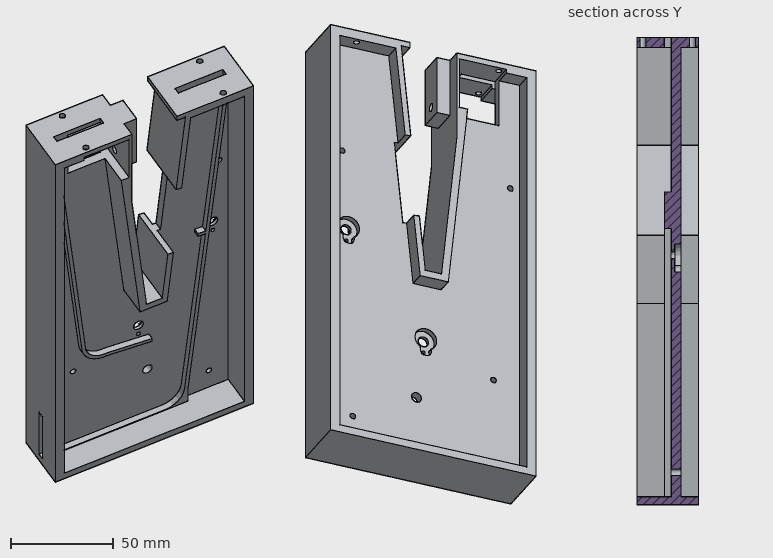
import math

import cadquery as cq

DEPTH = 30.0
WIDTH = 110.0
HEIGHT = 228.0
HALF_WIDTH = WIDTH / 2
SIDE_WALL = 5.0
TOP_WALL = 5.0
BOTTOM_WALL = 4.0
PLATE_FRONT = 8.5
PLATE_BACK = 13.3
SIDE_INNER = HALF_WIDTH - SIDE_WALL
TOP_INNER = HEIGHT - TOP_WALL
FULL_X = (0.0, DEPTH)

V_ANGLE = math.radians(5.95)
V_TAN = math.tan(V_ANGLE)
V_BOTTOM = 101.7
V_BOTTOM_HALF = 4.35
V_LEFT_WALL = 3.1
V_RIGHT_WALL = 4.0
V_BOTTOM_WALL = 3.6
LID_THICKNESS = 3.0
LID_UNDERSIDE = HEIGHT - LID_THICKNESS
LID_EDGE_Y = 12.5
RIGHT_ARM_EDGE_Y = -12.5

GAP_BOTTOM = 131.6
GAP_TOP = 175.6
GAP_DEPTH = 5.0

TONGUE_X = (8.0, 22.0)
TONGUE_END_Y = -5.5
TONGUE_HEIGHT = 31.0
WINDOW_WIDTH = 25.0
WINDOW_WALL = 1.5
WINDOW_BOTTOM = 197.8
TONGUE_HOLE_DIAMETER = 4.0
TONGUE_HOLE_Z = 203.5

SLOT_X = (PLATE_BACK, DEPTH - PLATE_BACK)
LEFT_SLOT_Y = (20.5, 47.0)
RIGHT_SLOT_Y = (-46.8, -21.0)
EXIT_SLOT_Z = (4.5, 34.5)

LEFT_CHUTE_ANGLE = math.radians(6.3)
LEFT_CHUTE_TAN = math.tan(LEFT_CHUTE_ANGLE)
GUIDE_BEND_RADIUS = 10.7
GUIDE_THICKNESS = 2.0
TAB_Z = 121.0
TAB_LENGTH = 4.4
TAB_THICKNESS = 2.0
RIGHT_BEND_Y = -31.0
RAMP_END_Y = 6.0

LID_HOLE_DIAMETER = 3.0
LID_HOLE_X = (3.0, 27.0)
LID_HOLE_Y = (39.8, -36.4)
SCREW_HOLE_DIAMETER = 3.0
SCREW_HOLES = [(45.0, 163.9), (-45.0, 163.9), (-36.0, 54.0), (39.3, 15.9)]
SENSOR_HOLE_DIAMETER = 5.2
SENSOR_HOLE = (5.2, 34.5)

KEYHOLES = [(41.5, 121.8), (0.2, 68.5)]
KEYHOLE_DEPTH = 3.0
KEYHOLE_LARGE_DIAMETER = 11.5
KEYHOLE_LARGE_BORE = 5.4
KEYHOLE_SMALL_DIAMETER = 6.0
KEYHOLE_SMALL_BORE = 2.0
KEYHOLE_SMALL_DROP = 6.2


def block(x_range, y_range, z_range):
    """Box between two limits on each axis."""
    size = [high - low for low, high in (x_range, y_range, z_range)]
    low_corner = (x_range[0], y_range[0], z_range[0])
    return cq.Workplane("XY").box(*size, centered=False).translate(low_corner)


def profile(x_start):
    """Sketch plane at x_start whose local axes are Y and Z."""
    return cq.Workplane("YZ", origin=(x_start, 0, 0))


def prism(points, x_range):
    """Polygon in Y and Z, extruded across an X range."""
    return profile(x_range[0]).polyline(points).close().extrude(x_range[1] - x_range[0])


def round_bar(center, diameter, x_range):
    """Cylinder along X, centred at a (y, z) point."""
    return profile(x_range[0]).center(*center).circle(diameter / 2).extrude(x_range[1] - x_range[0])


def v_half_width(z):
    """Distance from the middle of the V to its sloping inner face at a height."""
    return V_BOTTOM_HALF + (z - V_BOTTOM) * V_TAN


def make_case():
    case = block(FULL_X, (-HALF_WIDTH, HALF_WIDTH), (0, HEIGHT))
    inside_y = (-SIDE_INNER, SIDE_INNER)
    inside_z = (BOTTOM_WALL, TOP_INNER)
    front_tray = block((0, PLATE_FRONT), inside_y, inside_z)
    back_tray = block((PLATE_BACK, DEPTH), inside_y, inside_z)
    return case.cut(front_tray).cut(back_tray)


def v_walls():
    """Solid wedge around the V, from which the opening is cut."""
    bottom = V_BOTTOM - V_BOTTOM_WALL
    points = [
        (-v_half_width(bottom) - V_RIGHT_WALL, bottom),
        (v_half_width(bottom) + V_LEFT_WALL, bottom),
        (v_half_width(HEIGHT) + V_LEFT_WALL, HEIGHT),
        (-v_half_width(HEIGHT) - V_RIGHT_WALL, HEIGHT),
    ]
    return prism(points, FULL_X)


def v_opening():
    """Space between the arms: its -Y side turns upright and the lid overhangs its +Y side."""
    bend_z = V_BOTTOM + (-RIGHT_ARM_EDGE_Y - V_BOTTOM_HALF) / V_TAN
    points = [
        (-V_BOTTOM_HALF, V_BOTTOM),
        (V_BOTTOM_HALF, V_BOTTOM),
        (v_half_width(LID_UNDERSIDE), LID_UNDERSIDE),
        (LID_EDGE_Y, LID_UNDERSIDE),
        (LID_EDGE_Y, HEIGHT),
        (RIGHT_ARM_EDGE_Y, HEIGHT),
        (RIGHT_ARM_EDGE_Y, bend_z),
    ]
    return prism(points, FULL_X)


def arm_gap():
    """Break in the +Y arm, its ends square to the sloping wall."""
    end_rise = -GAP_DEPTH * V_TAN
    points = []
    for z, side in ((GAP_BOTTOM, -1), (GAP_BOTTOM, 1), (GAP_TOP, 1), (GAP_TOP, -1)):
        points.append((v_half_width(z) + side * GAP_DEPTH, z + side * end_rise))
    return prism(points, FULL_X)


def make_tongue():
    y_range = (RIGHT_ARM_EDGE_Y, TONGUE_END_Y)
    return block(TONGUE_X, y_range, (HEIGHT - TONGUE_HEIGHT, HEIGHT))


def window():
    """Square opening through the case with the bore along the tongue."""
    edge_y = RIGHT_ARM_EDGE_Y - WINDOW_WALL
    opening = block(FULL_X, (edge_y - WINDOW_WIDTH, edge_y), (WINDOW_BOTTOM, LID_UNDERSIDE))
    bore_plane = cq.Workplane("XZ", origin=(sum(TONGUE_X) / 2, TONGUE_END_Y, TONGUE_HOLE_Z))
    bore = bore_plane.circle(TONGUE_HOLE_DIAMETER / 2).extrude(TONGUE_END_Y - edge_y)
    return opening.union(bore)


def left_guide():
    """Chute wall below the +Y slot, curving onto the floor that leads to the exit slot."""
    floor_z = EXIT_SLOT_Z[0]
    top_y = LEFT_SLOT_Y[1]
    bend_z = floor_z + GUIDE_BEND_RADIUS * (1 - math.sin(LEFT_CHUTE_ANGLE))
    bend_y = top_y - (TOP_INNER - bend_z) * LEFT_CHUTE_TAN
    bend_center_y = bend_y - GUIDE_BEND_RADIUS * math.cos(LEFT_CHUTE_ANGLE)
    bend_middle = (math.pi / 2 + LEFT_CHUTE_ANGLE) / 2
    bend_middle_point = (
        bend_center_y + GUIDE_BEND_RADIUS * math.sin(bend_middle),
        floor_z + GUIDE_BEND_RADIUS * (1 - math.cos(bend_middle)),
    )
    outline = (
        profile(SLOT_X[0])
        .moveTo(-SIDE_INNER, floor_z)
        .lineTo(bend_center_y, floor_z)
        .threePointArc(bend_middle_point, (bend_y, bend_z))
        .lineTo(top_y, TOP_INNER)
        .lineTo(top_y + GUIDE_THICKNESS, TOP_INNER)
        .lineTo(bend_y + GUIDE_THICKNESS, bend_z)
        .lineTo(bend_y + GUIDE_THICKNESS, BOTTOM_WALL)
        .lineTo(-SIDE_INNER, BOTTOM_WALL)
        .close()
    )
    return outline.extrude(SLOT_X[1] - SLOT_X[0])


def left_tab():
    """Tab standing square to the chute wall below the +Y slot."""
    root_y = LEFT_SLOT_Y[1] - (TOP_INNER - TAB_Z) * LEFT_CHUTE_TAN
    tip_y = root_y - TAB_LENGTH
    tip_rise = TAB_LENGTH * LEFT_CHUTE_TAN
    buried_y = root_y + GUIDE_THICKNESS / 2
    points = [
        (buried_y, TAB_Z),
        (root_y, TAB_Z),
        (tip_y, TAB_Z + tip_rise),
        (tip_y, TAB_Z + tip_rise - TAB_THICKNESS),
        (buried_y, TAB_Z - TAB_THICKNESS),
    ]
    return prism(points, SLOT_X)


def right_guide():
    """Chute wall below the -Y slot, curving onto a ramp square to it that falls toward +Y."""
    top_y = RIGHT_SLOT_Y[0]
    bend_z = TOP_INNER - (RIGHT_BEND_Y - top_y) / V_TAN
    center_y = RIGHT_BEND_Y + GUIDE_BEND_RADIUS * math.cos(V_ANGLE)
    center_z = bend_z + GUIDE_BEND_RADIUS * math.sin(V_ANGLE)
    bend_middle = V_ANGLE + math.pi / 4
    bend_end = V_ANGLE + math.pi / 2

    def around_bend(radius, angle):
        return (center_y - radius * math.cos(angle), center_z - radius * math.sin(angle))

    def ramp_end(radius):
        foot_y, foot_z = around_bend(radius, bend_end)
        return (RAMP_END_Y, foot_z - (RAMP_END_Y - foot_y) * V_TAN)

    inner = GUIDE_BEND_RADIUS
    outer = GUIDE_BEND_RADIUS + GUIDE_THICKNESS
    outline = (
        profile(SLOT_X[0])
        .moveTo(top_y, TOP_INNER)
        .lineTo(*around_bend(inner, V_ANGLE))
        .threePointArc(around_bend(inner, bend_middle), around_bend(inner, bend_end))
        .lineTo(*ramp_end(inner))
        .lineTo(*ramp_end(outer))
        .lineTo(*around_bend(outer, bend_end))
        .threePointArc(around_bend(outer, bend_middle), around_bend(outer, V_ANGLE))
        .lineTo(top_y - GUIDE_THICKNESS, TOP_INNER)
        .close()
    )
    return outline.extrude(SLOT_X[1] - SLOT_X[0])


def make_guides():
    return left_guide().union(left_tab()).union(right_guide())


def coin_slots():
    """Two entry slots through the top wall and one exit slot through the -Y wall."""
    left = block(SLOT_X, LEFT_SLOT_Y, (TOP_INNER, HEIGHT))
    right = block(SLOT_X, RIGHT_SLOT_Y, (TOP_INNER, HEIGHT))
    exit_slot = block(SLOT_X, (-HALF_WIDTH, -SIDE_INNER), EXIT_SLOT_Z)
    return [left, right, exit_slot]


def lid_holes():
    plane = cq.Workplane("XY", origin=(0, 0, TOP_INNER))
    points = [(x, y) for x in LID_HOLE_X for y in LID_HOLE_Y]
    return plane.pushPoints(points).circle(LID_HOLE_DIAMETER / 2).extrude(TOP_WALL)


def plate_holes():
    """Plain round holes through the plate."""
    plate_x = (PLATE_FRONT, PLATE_BACK)
    holes = [round_bar(center, SCREW_HOLE_DIAMETER, plate_x) for center in SCREW_HOLES]
    holes.append(round_bar(SENSOR_HOLE, SENSOR_HOLE_DIAMETER, plate_x))
    return holes


def keyhole(center):
    """Two overlapping round pockets in the plate's front face, each with a through hole."""
    y, z = center
    small_center = (y, z - KEYHOLE_SMALL_DROP)
    recess_x = (PLATE_FRONT, PLATE_FRONT + KEYHOLE_DEPTH)
    plate_x = (PLATE_FRONT, PLATE_BACK)
    large_pocket = round_bar(center, KEYHOLE_LARGE_DIAMETER, recess_x)
    small_pocket = round_bar(small_center, KEYHOLE_SMALL_DIAMETER, recess_x)
    large_bore = round_bar(center, KEYHOLE_LARGE_BORE, plate_x)
    small_bore = round_bar(small_center, KEYHOLE_SMALL_BORE, plate_x)
    return [large_pocket, small_pocket, large_bore, small_bore]


result = make_case().union(v_walls()).cut(v_opening()).cut(arm_gap())
result = result.union(make_tongue()).cut(window())

cutters = coin_slots() + [lid_holes()] + plate_holes()
for keyhole_center in KEYHOLES:
    cutters += keyhole(keyhole_center)
for cutter in cutters:
    result = result.cut(cutter)

result = result.union(make_guides())